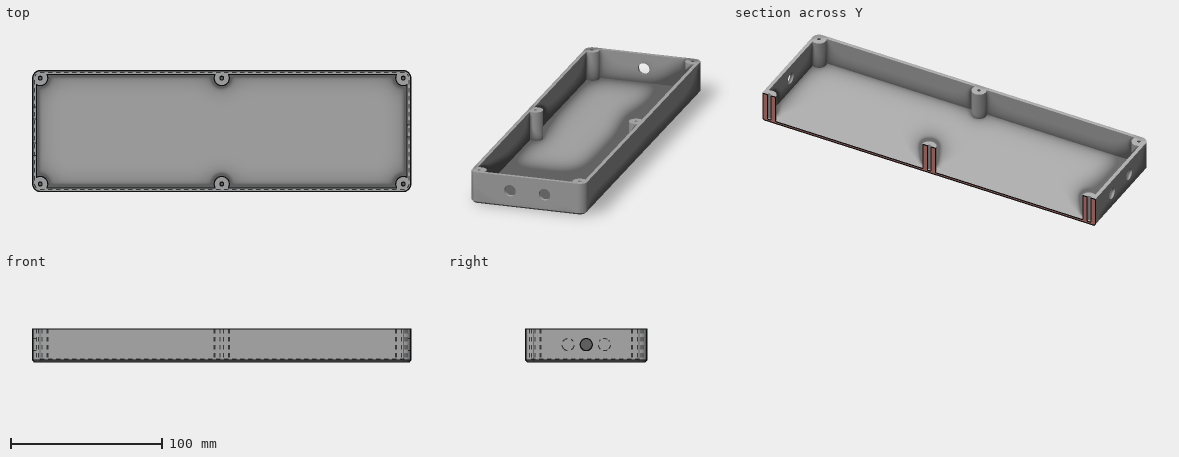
import cadquery as cq

length = 250.0
width = 80.0
height = 22.0
corner_radius = 5.0
bottom_chamfer = 1.3

wall = 2.5
floor = 2.0

boss_diameter = 2 * corner_radius
screw_hole_diameter = 2.5
boss_x = length / 2 - corner_radius
boss_y = width / 2 - corner_radius
boss_points = [(x, y) for x in (-boss_x, 0, boss_x) for y in (-boss_y, boss_y)]

cable_hole_diameter = 8.0
cable_hole_spacing = 24.0
cable_hole_z = (bottom_chamfer + height) / 2
left_hole_positions = (-cable_hole_spacing / 2, cable_hole_spacing / 2)
right_hole_positions = (0.0,)


def outer_block():
    """Solid block with rounded corners and a chamfered bottom edge."""
    block = cq.Workplane("XY").box(length, width, height, centered=(True, True, False))
    return block.edges("|Z").fillet(corner_radius).faces("<Z").edges().chamfer(bottom_chamfer)


def cavity():
    """Open-topped, square-cornered space inside the walls."""
    return (
        cq.Workplane("XY")
        .workplane(offset=floor)
        .rect(length - 2 * wall, width - 2 * wall)
        .extrude(height - floor)
    )


def floor_to_rim_cylinders(diameter):
    """Cylinders at the boss positions, from the floor up to the rim."""
    return (
        cq.Workplane("XY")
        .workplane(offset=floor)
        .pushPoints(boss_points)
        .circle(diameter / 2)
        .extrude(height - floor)
    )


def cable_holes(wall_outer_x, direction, y_positions):
    """Cutters that pierce one end wall, going inward along X."""
    return (
        cq.Workplane("YZ", origin=(wall_outer_x, 0, cable_hole_z))
        .pushPoints([(y, 0) for y in y_positions])
        .circle(cable_hole_diameter / 2)
        .extrude(direction * wall)
    )


result = (
    outer_block()
    .cut(cavity().cut(floor_to_rim_cylinders(boss_diameter)))
    .cut(floor_to_rim_cylinders(screw_hole_diameter))
    .cut(cable_holes(-length / 2, 1, left_hole_positions))
    .cut(cable_holes(length / 2, -1, right_hole_positions))
)